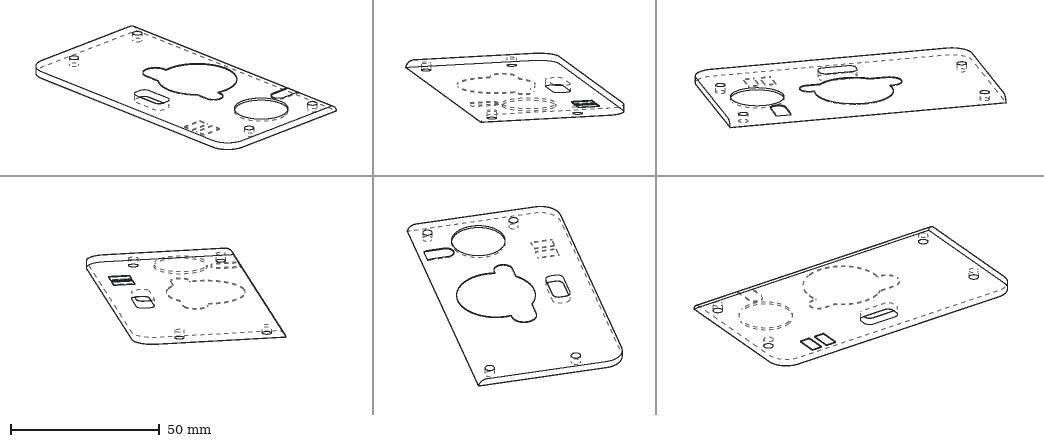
import cadquery as cq

length = 96.1
width = 51.5
thickness = 2.5
front_corner_radius = 7.0
rear_round_radius = 3.1

screw_hole_diameter = 3.2
screw_hole_x = 42.0
screw_hole_rows = (-9.6, 20.3)

window_length = 13.1
window_width = 6.1
window_corner_radius = 2.1
window_y = -14.2

disc_radius = 13.3
disc_y = 7.3
lobe_y = 1.2
left_lobe_radius = 4.2
left_lobe_x = -13.9
right_lobe_radius = 3.2
right_lobe_x = 14.0
central_pocket_depth = 0.3

round_pocket_radius = 9.0
round_pocket_x = 33.1
round_pocket_y = 4.9
round_pocket_depth = 0.8

slot_width = 5.2
slot_x = 29.0
slot_end_y = 14.5
slot_depth = 0.4

pad_length = 3.7
pad_width = 7.2
pad_height = 0.3
pad_centers_x = (23.6, 29.4)
pad_y = -16.5

rear_y = width / 2


def make_plate():
    """Plate with rounded front corners and a rear edge rolled over along a circular arc."""
    blank = (
        cq.Workplane("XY")
        .box(length, width, thickness, centered=(True, True, False))
        .edges("|Z and <Y")
        .fillet(front_corner_radius)
    )
    arc_center_z = thickness - rear_round_radius
    arc_run = (rear_round_radius**2 - arc_center_z**2) ** 0.5
    tangent_y = rear_y - arc_run
    roll = (
        cq.Workplane("YZ", origin=(-length / 2, 0, 0))
        .center(tangent_y, arc_center_z)
        .circle(rear_round_radius)
        .extrude(length)
    )
    edge_strip = cq.Workplane("XY").box(length, arc_run, thickness, centered=(True, False, False))
    edge_strip = edge_strip.translate((0, tangent_y, 0))
    return blank.cut(edge_strip.cut(roll))


def top_pocket(depth):
    """Workplane on the floor of a pocket of the given depth."""
    return cq.Workplane("XY", origin=(0, 0, thickness - depth))


def make_lobe(center_x, radius):
    """Round-ended lobe reaching from the middle of the plate to center_x."""
    floor = top_pocket(central_pocket_depth)
    end = floor.center(center_x, lobe_y).circle(radius).extrude(central_pocket_depth)
    arm = (
        floor.center(center_x / 2, lobe_y)
        .rect(abs(center_x), 2 * radius)
        .extrude(central_pocket_depth)
    )
    return end.union(arm)


def make_central_pocket():
    disc = (
        top_pocket(central_pocket_depth)
        .center(0, disc_y)
        .circle(disc_radius)
        .extrude(central_pocket_depth)
    )
    left_lobe = make_lobe(left_lobe_x, left_lobe_radius)
    right_lobe = make_lobe(right_lobe_x, right_lobe_radius)
    return disc.union(left_lobe).union(right_lobe)


def make_round_pocket():
    return (
        top_pocket(round_pocket_depth)
        .center(round_pocket_x, round_pocket_y)
        .circle(round_pocket_radius)
        .extrude(round_pocket_depth)
    )


def make_slot():
    end_radius = slot_width / 2
    straight_start_y = slot_end_y + end_radius
    return (
        top_pocket(slot_depth)
        .moveTo(slot_x - end_radius, rear_y)
        .lineTo(slot_x - end_radius, straight_start_y)
        .threePointArc((slot_x, slot_end_y), (slot_x + end_radius, straight_start_y))
        .lineTo(slot_x + end_radius, rear_y)
        .close()
        .extrude(slot_depth)
    )


def make_window():
    return (
        cq.Workplane("XY")
        .center(0, window_y)
        .rect(window_length, window_width)
        .extrude(thickness)
        .edges("|Z")
        .fillet(window_corner_radius)
    )


def make_screw_holes():
    centers = [(side * screw_hole_x, y) for side in (-1, 1) for y in screw_hole_rows]
    return cq.Workplane("XY").pushPoints(centers).circle(screw_hole_diameter / 2).extrude(thickness)


def make_pads():
    centers = [(x, pad_y) for x in pad_centers_x]
    return cq.Workplane("XY").pushPoints(centers).rect(pad_length, pad_width).extrude(-pad_height)


result = (
    make_plate()
    .cut(make_central_pocket())
    .cut(make_round_pocket())
    .cut(make_slot())
    .cut(make_window())
    .cut(make_screw_holes())
    .union(make_pads())
)